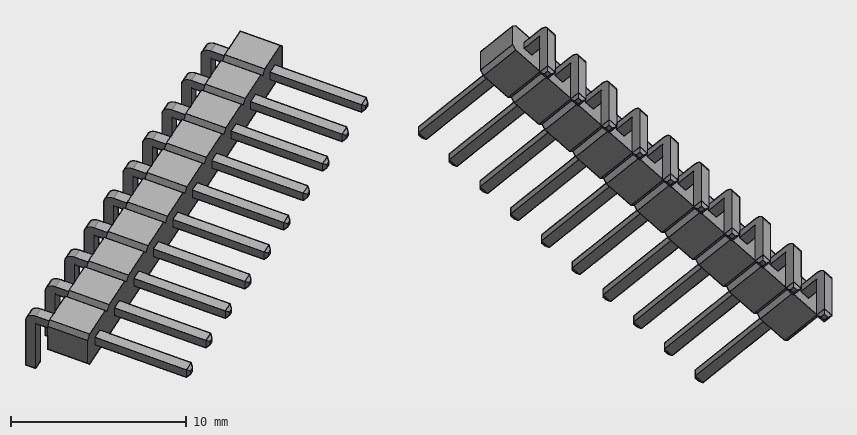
import cadquery as cq

pin_count = 10
strip_length = 25.4
pitch = strip_length / pin_count
housing_width = 2.55
housing_height = 2.55
edge_run = 0.25
edge_drop = 0.3

pin_size = 0.64
pin_span = 10.36
bend_offset = 1.85
leg_drop = 4.27
tip_chamfer = 0.18

half_pin = pin_size / 2
leg_outer_x = -housing_width / 2 - bend_offset
leg_inner_x = leg_outer_x + pin_size
pin_end_x = leg_outer_x + pin_span


def make_block(center_y):
    """One housing block with its four long edges bevelled."""
    half_pitch = pitch / 2
    half_height = housing_height / 2
    flat_y = half_pitch - edge_run
    side_z = half_height - edge_drop
    outline = [
        (-flat_y, half_height),
        (flat_y, half_height),
        (half_pitch, side_z),
        (half_pitch, -side_z),
        (flat_y, -half_height),
        (-flat_y, -half_height),
        (-half_pitch, -side_z),
        (-half_pitch, side_z),
    ]
    block = cq.Workplane("YZ").polyline(outline).close().extrude(housing_width / 2, both=True)
    return block.translate((0, center_y, 0))


def make_pin():
    """Right-angle pin on Y = 0: sharp inside the bend, rounded outside, both tips chamfered."""
    bend_center = cq.Vector(leg_inner_x, -half_pin)
    diagonal = pin_size / 2**0.5
    pin = (
        cq.Workplane("XZ")
        .moveTo(leg_outer_x, -leg_drop)
        .lineTo(leg_outer_x, -half_pin)
        .threePointArc(
            (bend_center.x - diagonal, bend_center.y + diagonal),
            (leg_inner_x, half_pin),
        )
        .lineTo(pin_end_x, half_pin)
        .lineTo(pin_end_x, -half_pin)
        .lineTo(leg_inner_x, -half_pin)
        .lineTo(leg_inner_x, -leg_drop)
        .close()
        .extrude(half_pin, both=True)
    )
    pin = pin.faces(">X").chamfer(tip_chamfer)
    return pin.faces("<Z").chamfer(tip_chamfer)


pin = make_pin()
result = cq.Workplane("XY")
for index in range(pin_count):
    center_y = (index + 0.5) * pitch - strip_length / 2
    result = result.union(make_block(center_y))
    result = result.union(pin.translate((0, center_y, 0)))